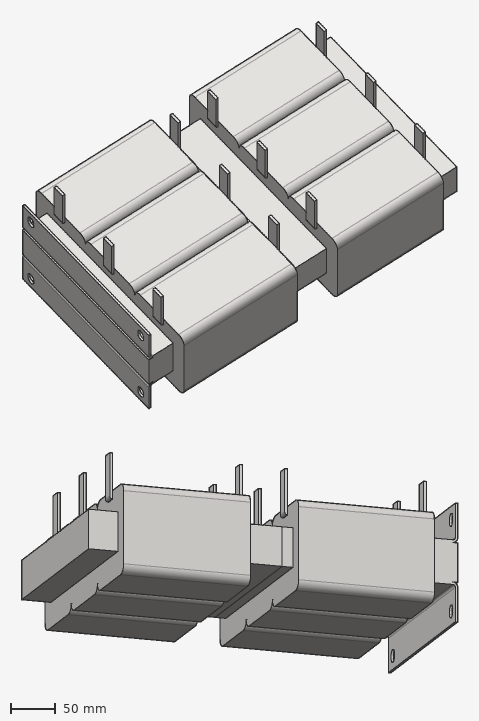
import cadquery as cq

total_length = 438.0
total_width = 270.0
total_height = 165.0
rear_end_y = total_length / 2
front_end_y = -total_length / 2

core_width = 230.0
core_height = 46.0
unit_joint_y = -10.5

phase_count = 3
coil_width = total_width / phase_count
coil_height = 105.0
coil_corner_radius = 10.0
phase_positions = [(i - (phase_count - 1) / 2) * coil_width for i in range(phase_count)]

rear_core_overhang = 34.5
rear_coil_length = 150.5
coil_row_gap = 57.0
front_coil_length = 161.0

rear_coil_back_y = rear_end_y - rear_core_overhang
rear_coil_front_y = rear_coil_back_y - rear_coil_length
front_coil_back_y = rear_coil_front_y - coil_row_gap
front_coil_front_y = front_coil_back_y - front_coil_length

sheet_thickness = 3.0
bend_inner_radius = sheet_thickness
bend_outer_radius = bend_inner_radius + sheet_thickness
flange_span = 138.0
flange_top_z = flange_span / 2
slot_width = 10.0
slot_height = 15.0
slot_spacing_x = 200.0
slot_spacing_z = 106.5

terminal_width = 15.0
terminal_thickness = 3.5
terminal_bend_radius = 3.0
terminal_bottom_z = coil_height / 2 - coil_corner_radius
terminal_top_z = total_height - flange_top_z


def box_between(width, y_min, y_max, z_min, z_max):
    """Box centred on X that spans the given Y and Z ranges."""
    return (
        cq.Workplane("XY")
        .box(width, y_max - y_min, z_max - z_min, centered=(True, False, False))
        .translate((0, y_min, z_min))
    )


def core_block(y_min, y_max):
    return box_between(core_width, y_min, y_max, -core_height / 2, core_height / 2)


def coil(x, y_min, y_max):
    """Solid coil block with rounded edges along Y."""
    return (
        box_between(coil_width, y_min, y_max, -coil_height / 2, coil_height / 2)
        .edges("|Y")
        .fillet(coil_corner_radius)
        .translate((x, 0, 0))
    )


def terminal(x, coil_face_y, outward):
    """Upright bar on a coil end face; outward is +1 toward +Y or -1 toward -Y."""
    outer_y = coil_face_y + outward * terminal_thickness
    bar = box_between(
        terminal_width,
        min(coil_face_y, outer_y),
        max(coil_face_y, outer_y),
        terminal_bottom_z,
        terminal_top_z,
    )
    outer_side = ">Y" if outward > 0 else "<Y"
    bar = bar.faces(outer_side).edges("<Z").fillet(terminal_bend_radius)
    return bar.translate((x, 0, 0))


def choke(core, coil_front_y, coil_back_y):
    """Core block with its row of coils and their terminals, as one solid."""
    body = core
    for x in phase_positions:
        body = body.union(coil(x, coil_front_y, coil_back_y))
        body = body.union(terminal(x, coil_back_y, 1))
        body = body.union(terminal(x, coil_front_y, -1))
    return body


def upper_bracket():
    """Bent sheet angle: a leg on top of the core and a slotted flange at its front end."""
    leg_bottom_z = core_height / 2
    leg_top_z = leg_bottom_z + sheet_thickness
    flange_back_y = front_end_y + sheet_thickness
    angle = (
        cq.Workplane("YZ")
        .moveTo(front_coil_front_y, leg_bottom_z)
        .lineTo(front_end_y + bend_outer_radius, leg_bottom_z)
        .radiusArc((front_end_y, leg_bottom_z + bend_outer_radius), bend_outer_radius)
        .lineTo(front_end_y, flange_top_z)
        .lineTo(flange_back_y, flange_top_z)
        .lineTo(flange_back_y, leg_top_z + bend_inner_radius)
        .radiusArc((flange_back_y + bend_inner_radius, leg_top_z), -bend_inner_radius)
        .lineTo(front_coil_front_y, leg_top_z)
        .close()
        .extrude(core_width / 2, both=True)
    )
    slots = (
        cq.Workplane("XZ", origin=(0, front_end_y, slot_spacing_z / 2))
        .rarray(slot_spacing_x, 4.5, 2, 1)
        .slot2D(slot_height, slot_width, angle=90)
        .extrude(-sheet_thickness)
    )
    return angle.cut(slots)


rear_choke = choke(core_block(unit_joint_y, rear_end_y), rear_coil_front_y, rear_coil_back_y)

bracket = upper_bracket()
front_choke = (
    choke(core_block(front_end_y, unit_joint_y), front_coil_front_y, front_coil_back_y)
    .union(bracket)
    .union(bracket.mirror("XY"))
)

result = cq.Compound.makeCompound([rear_choke.val(), front_choke.val()])